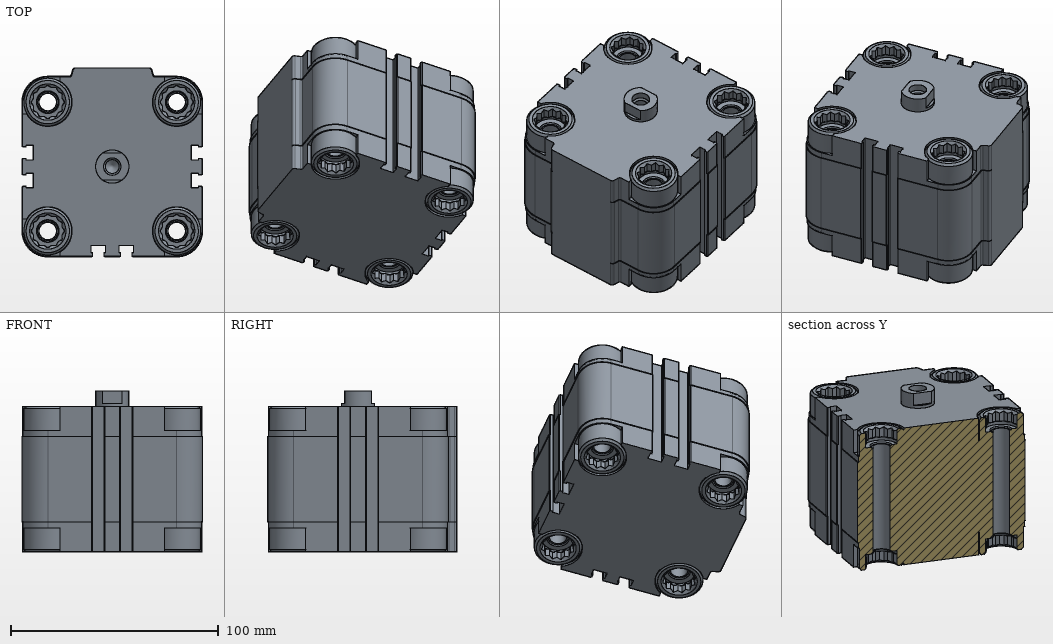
import cadquery as cq
import math

barrel_half_width = 43.5
cap_inset = 0.4
cap_half_width = barrel_half_width - cap_inset
housing_height = 70.1
cap_height = 14.5
barrel_height = housing_height - 2 * cap_height
screw_offset = 31.0

ridge_top_y = 47.5
ridge_top_half_width = 18.8
ridge_slope = 0.29
ridge_top_fillet = 1.5
ridge_base_fillet = 1.0
ridge_embed = 4.55

slot_offset = 6.7
slot_mouth_half_width = 2.7
slot_inner_half_width = 3.5
slot_floor = barrel_half_width - 5.5
slot_shoulder = barrel_half_width - 2.1
slot_edge_chamfer = 0.5
slot_side_angles = (180, -90, 0)

collar_diameter = 23.0
collar_recess_diameter = 23.4
collar_depth = 11.6
collar_chamfer = 1.1
notch_wall_offset = 5.8

socket_rim_diameter = 17.5
socket_tip_diameter = 16.0
socket_rim_cone_end_diameter = 14.2
socket_tips = 12
socket_depth = 5.9
socket_floor_depth = 7.6
step_top_diameter = 10.9
step_bottom_diameter = 9.8
screw_hole_diameter = 8.4

rod_diameter = 16.0
rod_projection = 7.5
rod_top = housing_height + rod_projection
rod_bottom = housing_height - cap_height
rod_flat_spacing = 13.0
rod_flat_length = 6.0
rod_mouth_diameter = 8.4
rod_mouth_depth = 3.3
rod_pilot_diameter = 6.6
rod_pilot_depth = 14.6
drill_tip_angle = 118.0

screw_points = [(x, y) for x in (-screw_offset, screw_offset) for y in (-screw_offset, screw_offset)]


def ridge(inset, height):
    """Trapezoidal ridge on the +Y side; its sloping sides are moved in by the inset."""
    top_half_width = ridge_top_half_width - inset
    base_y = cap_half_width - ridge_embed
    base_half_width = top_half_width + ridge_slope * (ridge_top_y - base_y)
    return (
        cq.Workplane("XY")
        .moveTo(-base_half_width, base_y)
        .lineTo(-top_half_width, ridge_top_y)
        .lineTo(top_half_width, ridge_top_y)
        .lineTo(base_half_width, base_y)
        .close()
        .extrude(height)
        .edges("|Z and >Y")
        .fillet(ridge_top_fillet)
    )


def slot(center_y, face_x, height):
    """T-slot cut in from the +X face at face_x, with chamfered mouth edges."""
    half_outline = [
        (slot_floor, slot_inner_half_width),
        (slot_shoulder, slot_inner_half_width),
        (slot_shoulder, slot_mouth_half_width),
        (face_x - slot_edge_chamfer, slot_mouth_half_width),
        (face_x, slot_mouth_half_width + slot_edge_chamfer),
    ]
    mirrored = [(x, -y) for x, y in reversed(half_outline)]
    outline = [(x, center_y + y) for x, y in half_outline + mirrored]
    return cq.Workplane("XY").polyline(outline).close().extrude(height)


def housing_section(inset, height):
    """One length of the housing profile, its outer faces moved in by the inset."""
    half_width = barrel_half_width - inset
    section = (
        cq.Workplane("XY")
        .rect(2 * half_width, 2 * half_width)
        .extrude(height)
        .edges("|Z")
        .fillet(half_width - screw_offset)
        .union(ridge(inset, height))
    )
    base_x = ridge_top_half_width - inset + ridge_slope * (ridge_top_y - half_width)
    for side in (-1, 1):
        base_point = (side * base_x, half_width, height / 2)
        base_edge = cq.selectors.NearestToPointSelector(base_point)
        section = section.edges("|Z").edges(base_edge).fillet(ridge_base_fillet)
    for angle in slot_side_angles:
        for center_y in (-slot_offset, slot_offset):
            cutter = slot(center_y, half_width, height)
            section = section.cut(cutter.rotate((0, 0, 0), (0, 0, 1), angle))
    return section


def corner_notch():
    """Space around one collar on the top cap, in the +X +Y corner."""
    bottom = housing_height - collar_depth
    wall = screw_offset - notch_wall_offset
    corner = (
        cq.Workplane("XY", origin=(wall, wall, bottom))
        .rect(barrel_half_width, barrel_half_width, centered=False)
        .extrude(collar_depth)
    )
    recess = (
        cq.Workplane("XY", origin=(screw_offset, screw_offset, bottom))
        .circle(collar_recess_diameter / 2)
        .extrude(collar_depth)
    )
    return corner.union(recess)


def collar():
    return (
        cq.Workplane("XY", origin=(screw_offset, screw_offset, housing_height - collar_depth))
        .circle(collar_diameter / 2)
        .extrude(collar_depth)
        .faces(">Z")
        .chamfer(collar_chamfer)
    )


def turned(*profile):
    """Solid of revolution about Z from (radius, z) points between two points on the axis."""
    return cq.Workplane("XZ").polyline(profile).close().revolve(360, (0, 0, 0), (0, 1, 0))


def star_prism(height):
    tip_radius = socket_tip_diameter / 2
    tip_step = 2 * math.pi / socket_tips
    valley_radius = tip_radius * math.cos(tip_step) / math.cos(tip_step / 2)
    outline = []
    for i in range(2 * socket_tips):
        radius = valley_radius if i % 2 else tip_radius
        angle = i * tip_step / 2
        outline.append((radius * math.cos(angle), radius * math.sin(angle)))
    return cq.Workplane("XY").polyline(outline).close().extrude(-height)


def socket():
    """Socket and conical step of one collar, in the +X +Y corner of the top cap."""
    rim_radius = socket_rim_diameter / 2
    cone_end_radius = socket_rim_cone_end_diameter / 2
    floor_radius = socket_tip_diameter / 2
    step_top_radius = step_top_diameter / 2
    step_bottom_radius = step_bottom_diameter / 2
    step_floor = step_bottom_radius - step_top_radius - socket_floor_depth
    rim_cone = turned(
        (0, 0),
        (rim_radius, 0),
        (cone_end_radius, cone_end_radius - rim_radius),
        (0, cone_end_radius - rim_radius),
    )
    bore = turned(
        (0, -socket_depth),
        (floor_radius, -socket_depth),
        (floor_radius, -socket_floor_depth),
        (step_top_radius, -socket_floor_depth),
        (step_bottom_radius, step_floor),
        (0, step_floor),
    )
    cutter = star_prism(socket_depth).union(rim_cone).union(bore)
    return cutter.translate((screw_offset, screw_offset, housing_height))


def on_all_corners(feature):
    """Copies of a top-cap corner feature at the four corners of both caps."""
    flipped = feature.mirror("XY", (0, 0, housing_height / 2))
    copies = cq.Workplane("XY")
    for turn in range(4):
        for end in (feature, flipped):
            copies = copies.add(end.rotate((0, 0, 0), (0, 0, 1), 90 * turn))
    return copies.vals()


def make_housing():
    body = housing_section(cap_inset, cap_height)
    body = body.union(housing_section(0, barrel_height).translate((0, 0, cap_height)))
    body = body.union(housing_section(cap_inset, cap_height).translate((0, 0, cap_height + barrel_height)))
    for notch in on_all_corners(corner_notch()):
        body = body.cut(cq.Workplane(notch))
    for stud in on_all_corners(collar()):
        body = body.union(cq.Workplane(stud))
    for opening in on_all_corners(socket()):
        body = body.cut(cq.Workplane(opening))
    screw_holes = (
        cq.Workplane("XY").pushPoints(screw_points).circle(screw_hole_diameter / 2).extrude(housing_height)
    )
    rod_seat = cq.Workplane("XY", origin=(0, 0, rod_bottom)).circle(rod_diameter / 2).extrude(cap_height)
    return body.cut(screw_holes).cut(rod_seat)


def rod_hole():
    mouth_radius = rod_mouth_diameter / 2
    pilot_radius = rod_pilot_diameter / 2
    tip_length = pilot_radius / math.tan(math.radians(drill_tip_angle / 2))
    return turned(
        (0, 0),
        (mouth_radius, 0),
        (mouth_radius, -rod_mouth_depth),
        (pilot_radius, pilot_radius - mouth_radius - rod_mouth_depth),
        (pilot_radius, -rod_pilot_depth),
        (0, -rod_pilot_depth - tip_length),
    ).translate((0, 0, rod_top))


def make_rod():
    rod = cq.Workplane("XY", origin=(0, 0, rod_bottom)).circle(rod_diameter / 2).extrude(rod_top - rod_bottom)
    flats = (
        cq.Workplane("XY", origin=(0, 0, rod_top))
        .rect(rod_diameter, rod_diameter)
        .rect(rod_diameter, rod_flat_spacing)
        .extrude(-rod_flat_length)
    )
    return rod.cut(flats).cut(rod_hole())


housing = make_housing()
rod = make_rod()

result = cq.Compound.makeCompound([housing.val(), rod.val()])